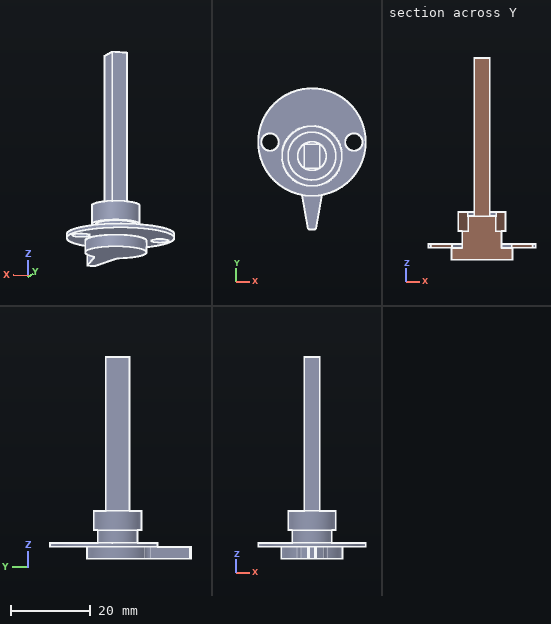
import cadquery as cq
import math


disc_diameter = 15.4
disc_thickness = 3.0
arm_reach = 18.4
arm_tip_width = 2.0
arm_side_angle = 10.0
arm_tip_chamfer = 0.3
arm_root_radius = 2.1
neck_diameter = 10.0

collar_diameter = 12.0
bore_diameter = 7.18
collar_bottom = 7.2
collar_height = 4.8
collar_top = collar_bottom + collar_height
recess_depth = 1.0
spigot_top = collar_top - recess_depth

bar_depth = 6.0
bar_width = math.sqrt(bore_diameter**2 - bar_depth**2)
bar_top = 50.6

plate_diameter = 27.0
plate_thickness = 1.0
plate_offset = 3.5
plate_opening_diameter = 15.0
screw_hole_diameter = 4.3
screw_hole_spacing = 21.0


def cylinder(diameter, bottom, top):
    """Cylinder on the spindle axis between two heights."""
    return cq.Workplane("XY").workplane(offset=bottom).circle(diameter / 2).extrude(top - bottom)


def make_arm():
    """Tapered arm from the spindle axis to its chamfered tip."""
    tip_half = arm_tip_width / 2
    root_half = tip_half + arm_reach * math.tan(math.radians(arm_side_angle))
    outline = [
        (-root_half, 0),
        (-tip_half, -arm_reach),
        (tip_half, -arm_reach),
        (root_half, 0),
    ]
    arm = cq.Workplane("XY").polyline(outline).close().extrude(disc_thickness)
    return arm.edges("|Z and <Y").chamfer(arm_tip_chamfer)


def make_lever():
    """Disc and arm blended together, with the neck and the spigot that carries the collar."""
    disc = cylinder(disc_diameter, 0, disc_thickness)
    disc_radius = disc_diameter / 2
    arm_root_corners = cq.selectors.BoxSelector(
        (-disc_radius, -disc_radius, 0),
        (disc_radius, -disc_radius / 2, disc_thickness),
    )
    base = disc.union(make_arm()).edges("|Z").edges(arm_root_corners).fillet(arm_root_radius)
    neck = cylinder(neck_diameter, disc_thickness, collar_bottom)
    spigot = cylinder(bore_diameter, collar_bottom, spigot_top)
    return base.union(neck).union(spigot)


def make_plate():
    """Round plate with an opening around the neck and two screw holes."""
    plate = (
        cq.Workplane("XY")
        .workplane(offset=disc_thickness)
        .center(0, plate_offset)
        .circle(plate_diameter / 2)
        .pushPoints([(-screw_hole_spacing / 2, 0), (screw_hole_spacing / 2, 0)])
        .circle(screw_hole_diameter / 2)
        .extrude(plate_thickness)
    )
    return plate.cut(cylinder(plate_opening_diameter, disc_thickness, disc_thickness + plate_thickness))


def make_collar():
    """Ring around the spigot, rising above it to leave a shallow recess."""
    ring = cylinder(collar_diameter, collar_bottom, collar_top)
    return ring.cut(cylinder(bore_diameter, collar_bottom, collar_top))


def make_bar():
    """Rectangular bar standing on top of the spigot."""
    bar_base = cq.Workplane("XY").workplane(offset=spigot_top)
    return bar_base.rect(bar_width, bar_depth).extrude(bar_top - spigot_top)


lever = make_lever()
plate = make_plate()
collar = make_collar()
bar = make_bar()

result = cq.Compound.makeCompound([lever.val(), plate.val(), collar.val(), bar.val()])